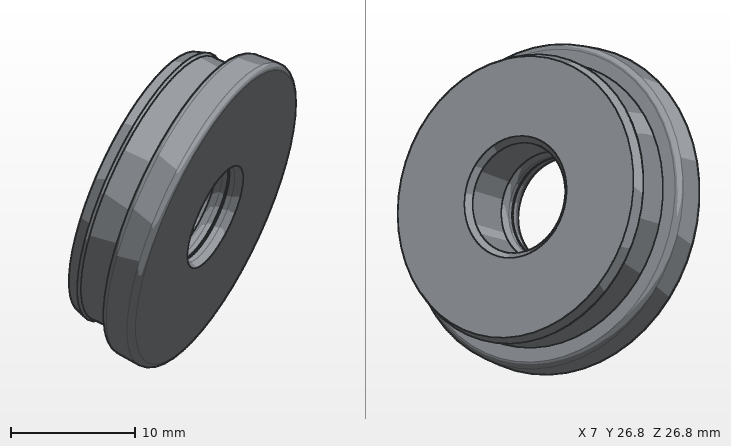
import cadquery as cq
import math

total_length = 7.0
hub_length = 4.02
outer_radius = 13.4

hub_radius = 11.63
bead_radius = 11.82
tip_radius = 11.5
bead_start = 0.96
bead_end = 1.2
bore_radius = 4.5
bore_chamfer = 0.48
lip_start = 4.55

rim_angle = math.radians(4)
rim_fillet = 0.48
sleeve_radius = 5.35

throat_radius = 4.25
lip_end = 5.23
groove_start = 5.7
groove_width = 0.15
groove_depth = 0.27
back_round_start = 6.32


def revolve_about_x(profile):
    """Turn an (x, radius) profile a full turn about the X axis."""
    return profile.close().revolve(360, (0, 0, 0), (1, 0, 0))


def make_hub():
    profile = (
        cq.Workplane("XY")
        .moveTo(0, bore_radius + bore_chamfer)
        .lineTo(0, tip_radius)
        .lineTo(bead_start, bead_radius)
        .lineTo(bead_end, hub_radius)
        .lineTo(hub_length, hub_radius)
        .lineTo(hub_length, sleeve_radius)
        .lineTo(lip_start, sleeve_radius)
        .lineTo(lip_start, bore_radius)
        .lineTo(bore_chamfer, bore_radius)
    )
    return revolve_about_x(profile)


def rounding_middle(tangent_x, end_x):
    """Middle of an arc that leaves the throat along X and widens to the bore radius."""
    width = end_x - tangent_x
    rise = bore_radius - throat_radius
    curve_radius = (width**2 + rise**2) / (2 * rise)
    half_angle = math.asin(width / curve_radius) / 2
    return (
        tangent_x + curve_radius * math.sin(half_angle),
        throat_radius + curve_radius * (1 - math.cos(half_angle)),
    )


def make_flange():
    corner_loss = rim_fillet * (math.tan(rim_angle) + 1 / math.cos(rim_angle) - 1)
    back_radius = outer_radius + corner_loss
    front_radius = back_radius - (total_length - hub_length) * math.tan(rim_angle)
    groove_end = groove_start + groove_width
    groove_radius = throat_radius + groove_depth
    profile = (
        cq.Workplane("XY")
        .moveTo(hub_length, sleeve_radius)
        .lineTo(hub_length, front_radius)
        .lineTo(total_length, back_radius)
        .lineTo(total_length, bore_radius)
        .threePointArc(
            rounding_middle(back_round_start, total_length),
            (back_round_start, throat_radius),
        )
        .lineTo(groove_end, throat_radius)
        .lineTo(groove_end, groove_radius)
        .lineTo(groove_start, groove_radius)
        .lineTo(groove_start, throat_radius)
        .lineTo(lip_end, throat_radius)
        .threePointArc(rounding_middle(lip_end, lip_start), (lip_start, bore_radius))
        .lineTo(lip_start, sleeve_radius)
    )
    ring = revolve_about_x(profile)
    rim_edges = cq.selectors.RadiusNthSelector(-1)
    ring = ring.faces("<X").edges(rim_edges).fillet(rim_fillet)
    return ring.faces(">X").edges(rim_edges).fillet(rim_fillet)


hub = make_hub()
flange = make_flange()

result = cq.Compound.makeCompound([hub.val(), flange.val()])